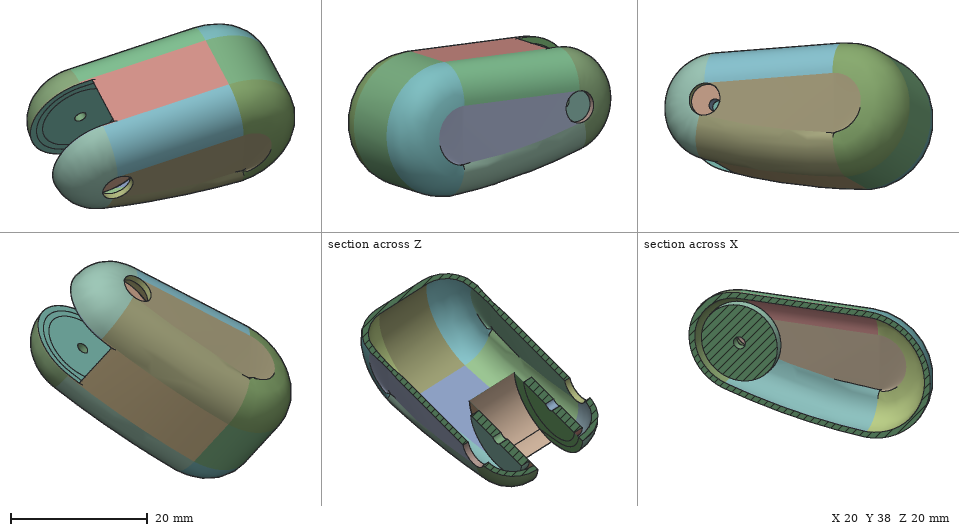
import cadquery as cq
import math

width = 20.0
height = 20.0
length = 37.97
edge_round = 5.6
wall = 1.0

rear_radius = height / 2
pivot_distance = 20.0
pivot_radius = length - rear_radius - pivot_distance
belly_end_angle = math.radians(18)

slot_width = 8.35
slot_radius = 8.15
slot_wall = 0.05

pad_radius = 6.0
pad_thickness = 1.5

pin_diameter = 1.8
access_diameter = 4.8

pivot_y = -pivot_distance
pivot_z = rear_radius - pivot_radius


def pivot_cylinder(radius, cylinder_width):
    """Cylinder on the pivot axis, centered across the width."""
    return (
        cq.Workplane("YZ", origin=(-cylinder_width / 2, pivot_y, pivot_z))
        .circle(radius)
        .extrude(cylinder_width)
    )


def rounded_body(inset):
    """Teardrop body with rounded side rims, set in evenly from the outer surface."""
    rear = rear_radius - inset
    pivot = pivot_radius - inset
    body_width = width - 2 * inset
    belly_end = (
        pivot_y - pivot * math.sin(belly_end_angle),
        pivot_z - pivot * math.cos(belly_end_angle),
    )
    profile = (
        cq.Workplane("YZ", origin=(-body_width / 2, 0, 0))
        .moveTo(0, -rear)
        .threePointArc((rear, 0), (0, rear))
        .lineTo(pivot_y, rear)
        .threePointArc((pivot_y - pivot, pivot_z), belly_end)
        .tangentArcPoint((0, -rear), relative=False)
        .close()
    )
    return profile.extrude(body_width).faces("<X or >X").edges().fillet(edge_round - inset)


slot = pivot_cylinder(slot_radius, slot_width)
slot_housing = pivot_cylinder(slot_radius + slot_wall, slot_width + 2 * slot_wall)
pads = pivot_cylinder(pad_radius, slot_width + 2 * pad_thickness)
housing = slot_housing.union(pads)
cavity = rounded_body(wall).cut(housing)
access_holes = pivot_cylinder(access_diameter / 2, width).cut(housing)
pin_hole = pivot_cylinder(pin_diameter / 2, width)

result = rounded_body(0).cut(cavity).cut(slot).cut(access_holes).cut(pin_hole)